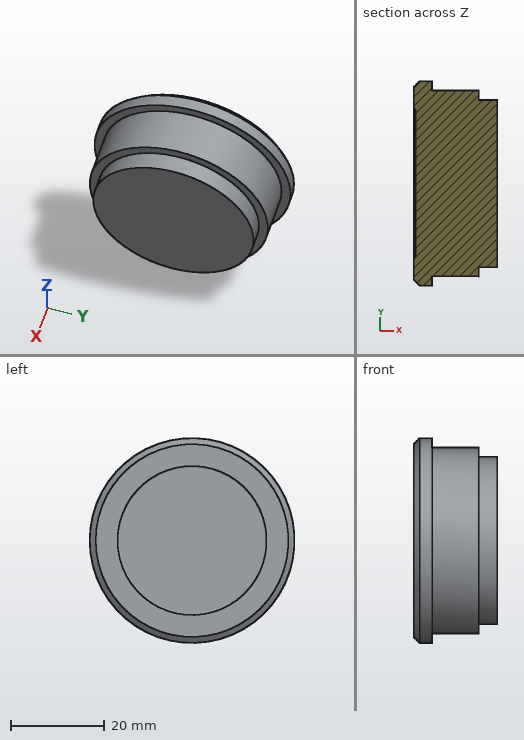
import cadquery as cq
import math

flange_diameter = 44.0
body_diameter = 40.0
neck_diameter = 36.0
flange_end = 4.0
body_end = 14.0
total_length = 18.0
flange_chamfer = 1.3

recess_diameter = 32.0
cove_radius = 0.4


def disc(diameter, start, end):
    """Round section between two places along X."""
    return cq.Workplane("YZ", origin=(start, 0, 0)).circle(diameter / 2).extrude(end - start)


def flange():
    """Wide front disc with a chamfered outer edge."""
    return disc(flange_diameter, 0, flange_end).faces("<X").edges().chamfer(flange_chamfer)


def recess():
    """Flat-floored round pocket, as deep as its cove radius."""
    rim_radius = recess_diameter / 2
    floor_radius = rim_radius - cove_radius
    cove_middle = cove_radius * math.sqrt(0.5)
    return (
        cq.Workplane("XY")
        .lineTo(0, rim_radius)
        .threePointArc((cove_middle, floor_radius + cove_middle), (cove_radius, floor_radius))
        .lineTo(cove_radius, 0)
        .close()
        .revolve(360, (0, 0, 0), (1, 0, 0))
    )


body = disc(body_diameter, flange_end, body_end)
neck = disc(neck_diameter, body_end, total_length)

result = flange().union(body).union(neck).cut(recess())